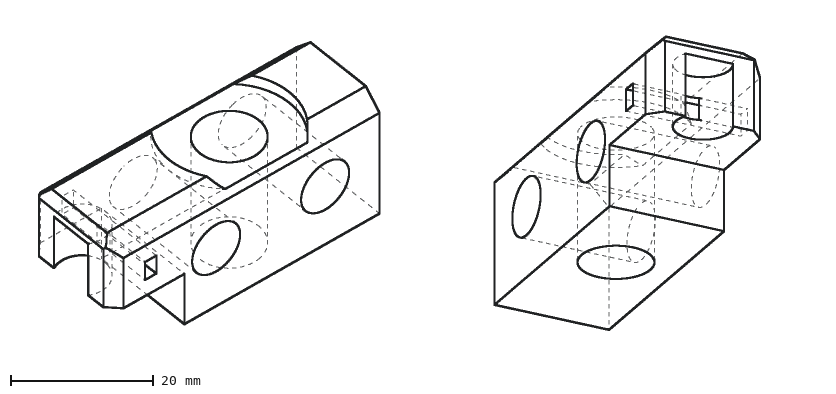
import cadquery as cq

width = 18.0
length = 49
height = 22.0

nose_length = 13.2
nose_bottom = 9.5

side_chamfer = 3.0
front_top_chamfer = 1.5
front_corner_chamfer = 2.0

bore_diameter = 10.8
bore_from_back = 20.0
recess_diameter = 22.0
recess_depth = 2.0

cross_hole_diameter = 8.8
cross_hole_height = 11.0
cross_hole_spacing = bore_from_back
first_hole_from_back = bore_from_back / 2

pocket_diameter = 8.45
pocket_center_y = 2.0
pocket_top = 19.2

window_length = 2.05
window_height = 3.4
window_center_y = 7.0
window_center_z = 14.25


def make_body():
    """Stepped side profile, extruded across the width and chamfered."""
    profile = [
        (0, nose_bottom),
        (nose_length, nose_bottom),
        (nose_length, 0),
        (length, 0),
        (length, height),
        (front_top_chamfer, height),
        (0, height - front_top_chamfer),
    ]
    body = cq.Workplane("YZ").polyline(profile).close().extrude(width / 2, both=True)
    return body.intersect(make_end_outline()).intersect(make_plan_outline())


def make_end_outline():
    """Envelope with both long upper edges sloped."""
    half = width / 2
    points = [
        (-half, 0),
        (half, 0),
        (half, height - side_chamfer),
        (half - side_chamfer, height),
        (side_chamfer - half, height),
        (-half, height - side_chamfer),
    ]
    return cq.Workplane("XZ").polyline(points).close().extrude(-length)


def make_plan_outline():
    """Envelope with both vertical front corners cut off."""
    half = width / 2
    points = [
        (front_corner_chamfer - half, 0),
        (half - front_corner_chamfer, 0),
        (half, front_corner_chamfer),
        (half, length),
        (-half, length),
        (-half, front_corner_chamfer),
    ]
    return cq.Workplane("XY").polyline(points).close().extrude(height)


def make_bore():
    """Through bore and the recess around its upper end."""
    center_y = length - bore_from_back
    bore = cq.Workplane("XY").center(0, center_y).circle(bore_diameter / 2).extrude(height)
    recess = (
        cq.Workplane("XY", origin=(0, center_y, height - recess_depth))
        .circle(recess_diameter / 2)
        .extrude(recess_depth)
    )
    return bore.union(recess)


def make_cross_holes():
    """Two holes right through the block along X."""
    centers = [
        (length - first_hole_from_back - i * cross_hole_spacing, cross_hole_height)
        for i in range(2)
    ]
    return (
        cq.Workplane("YZ")
        .pushPoints(centers)
        .circle(cross_hole_diameter / 2)
        .extrude(width / 2, both=True)
    )


def make_pocket():
    """Blind vertical bore that cuts through the front face."""
    return (
        cq.Workplane("XY", origin=(0, pocket_center_y, nose_bottom))
        .circle(pocket_diameter / 2)
        .extrude(pocket_top - nose_bottom)
    )


def make_window():
    """Rectangular passage across the full width."""
    return cq.Workplane("XY").box(width, window_length, window_height).translate(
        (0, window_center_y, window_center_z)
    )


result = (
    make_body()
    .cut(make_bore())
    .cut(make_cross_holes())
    .cut(make_pocket())
    .cut(make_window())
)